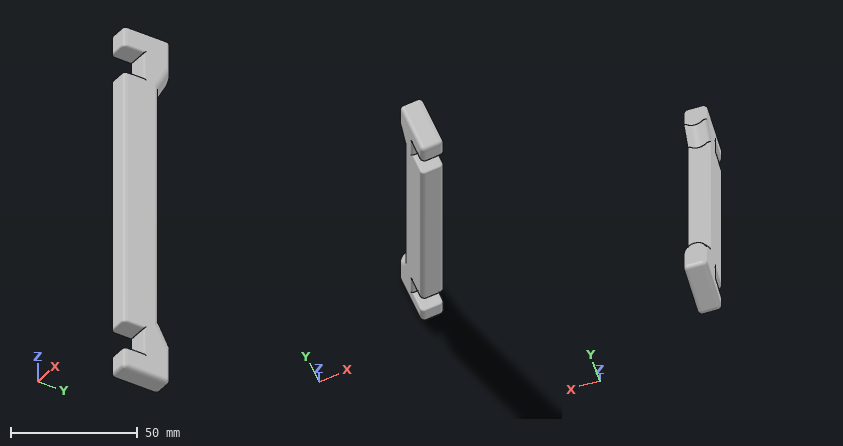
import cadquery as cq
import math

thickness = 10.0
depth = 22.3
height = 163.8
edge_radius = 2.0

relief_depth = 5.5
slope_start = 19.6
slope_end = 30.1
bottom_slope_shift = 1.5
slope_radius = 4.9

slot_height = 12.0
top_slot_start = 10.2
bottom_slot_start = 9.8
slot_depth = 9.5
slot_edge_radius = 1.0

front_y = -depth / 2
rear_y = depth / 2
half_height = height / 2


def rounded_bar(bar_depth):
    """Full-height bar with its front on front_y and every edge rounded."""
    bar = cq.Workplane("XY").box(thickness, bar_depth, height)
    return bar.edges().fillet(edge_radius).translate((0, front_y + bar_depth / 2, 0))


def slope_envelope(shift):
    """Long prism whose outer face is the slope, rounded along both sides and lowered by shift."""
    run = slope_end - slope_start
    angle = math.degrees(math.atan2(relief_depth, run))
    size = 2 * height
    prism = (
        cq.Workplane("XY")
        .box(thickness, size, size)
        .translate((0, -size / 2, 0))
        .edges("|Z and >Y")
        .fillet(slope_radius)
    )
    prism = prism.rotate((0, 0, 0), (1, 0, 0), -angle)
    return prism.translate((0, rear_y, half_height - slope_start - shift))


def top_end(shift):
    """Full-depth end at the top of the bar, bounded below by the rounded slope."""
    return rounded_bar(depth).intersect(slope_envelope(shift))


def slot_cutter(bottom_z):
    """Slot cutter through the full thickness, open to the front."""
    slot = cq.Workplane("XY").box(2 * thickness, 2 * slot_depth, slot_height)
    return slot.translate((0, front_y, bottom_z + slot_height / 2))


def is_slot_rim(edge, bottom_z):
    """True for edges of the slot on the outer skin, leaving the inner corners sharp."""
    tolerance = 0.02
    box = edge.BoundingBox()
    in_slot_height = box.zmin > bottom_z - tolerance and box.zmax < bottom_z + slot_height + tolerance
    in_slot_depth = box.ymax < front_y + slot_depth + tolerance
    is_inner_corner = box.xlen > thickness - tolerance
    return in_slot_height and in_slot_depth and not is_inner_corner


upper_end = top_end(0)
lower_end = top_end(bottom_slope_shift).mirror("XY")
body = rounded_bar(depth - relief_depth).union(upper_end).union(lower_end)

result = body
for slot_bottom in (half_height - top_slot_start - slot_height, bottom_slot_start - half_height):
    result = result.cut(slot_cutter(slot_bottom))
    rim_edges = [edge for edge in result.edges().vals() if is_slot_rim(edge, slot_bottom)]
    result = result.newObject(rim_edges).fillet(slot_edge_radius)